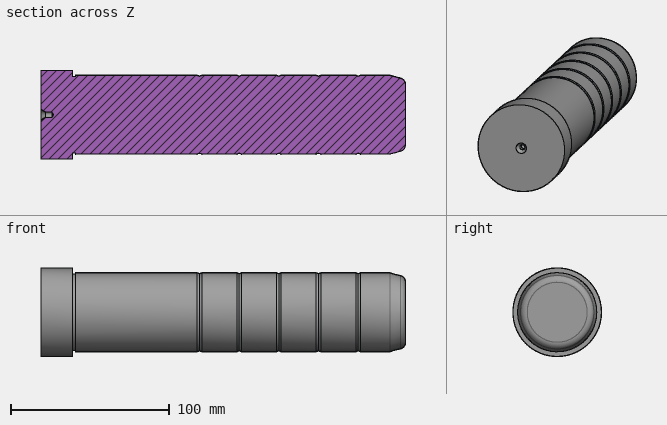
import cadquery as cq
import math

length = 230.0
head_diameter = 56.0
head_length = 20.0
body_radius = 50.0 / 2

neck_depth = 0.7
neck_width = 1.8

groove_count = 5
first_groove_x = 100.0
groove_pitch = 25.0
groove_width = 3.0
groove_depth = 0.58

taper_length = 10.0
taper_angle = math.radians(15)
tip_radius = 4.4

countersink_diameter = 6.7
countersink_angle = math.radians(60)
pilot_diameter = 3.2
pilot_depth = 7.0
drill_point_angle = math.radians(118)


def make_body():
    neck_radius = body_radius - neck_depth
    neck_end = head_length + neck_width
    taper_start = length - taper_length

    arc_start_x = length - tip_radius * (1 - math.sin(taper_angle))
    arc_start_r = body_radius - (arc_start_x - taper_start) * math.tan(taper_angle)
    arc_center_x = length - tip_radius
    arc_center_r = arc_start_r - tip_radius * math.cos(taper_angle)
    arc_mid_angle = (math.pi / 2 - taper_angle) / 2
    arc_mid = (
        arc_center_x + tip_radius * math.cos(arc_mid_angle),
        arc_center_r + tip_radius * math.sin(arc_mid_angle),
    )

    profile = (
        cq.Workplane("XY")
        .lineTo(0, head_diameter / 2)
        .lineTo(head_length, head_diameter / 2)
        .lineTo(head_length, neck_radius)
        .lineTo(neck_end, neck_radius)
        .lineTo(neck_end, body_radius)
    )
    for i in range(groove_count):
        groove_x = first_groove_x + i * groove_pitch
        profile = (
            profile.lineTo(groove_x - groove_width / 2, body_radius)
            .lineTo(groove_x, body_radius - groove_depth)
            .lineTo(groove_x + groove_width / 2, body_radius)
        )
    profile = (
        profile.lineTo(taper_start, body_radius)
        .lineTo(arc_start_x, arc_start_r)
        .threePointArc(arc_mid, (length, arc_center_r))
        .lineTo(length, 0)
        .close()
    )
    return profile.revolve(360, (0, 0, 0), (1, 0, 0))


def make_center_drilling():
    pilot_radius = pilot_diameter / 2
    countersink_radius = countersink_diameter / 2
    countersink_depth = (countersink_radius - pilot_radius) / math.tan(countersink_angle / 2)
    point_length = pilot_radius / math.tan(drill_point_angle / 2)
    return (
        cq.Workplane("XY")
        .lineTo(0, countersink_radius)
        .lineTo(countersink_depth, pilot_radius)
        .lineTo(pilot_depth, pilot_radius)
        .lineTo(pilot_depth + point_length, 0)
        .close()
        .revolve(360, (0, 0, 0), (1, 0, 0))
    )


result = make_body().cut(make_center_drilling())